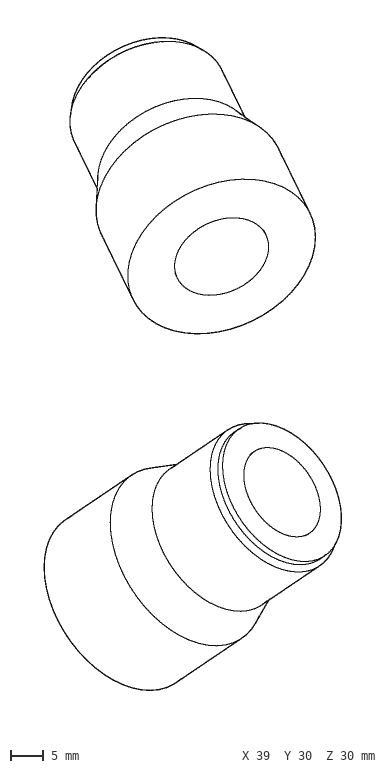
import cadquery as cq

body_diameter = 30.0
neck_diameter = 25.0
tip_diameter = 23.32
bore_diameter = 15.0

length = 39.0
tip_length = 1.15
neck_end = 16.0
body_length = 16.0
body_start = length - body_length

bevel_depth = (neck_diameter - tip_diameter) / 2
neck_start = tip_length + bevel_depth

half_section = (
    cq.Workplane("XY")
    .moveTo(0, bore_diameter / 2)
    .lineTo(0, tip_diameter / 2)
    .lineTo(tip_length, tip_diameter / 2)
    .lineTo(neck_start, neck_diameter / 2)
    .lineTo(neck_end, neck_diameter / 2)
    .lineTo(body_start, body_diameter / 2)
    .lineTo(length, body_diameter / 2)
    .lineTo(length, bore_diameter / 2)
    .close()
)

result = half_section.revolve(360, (0, 0, 0), (1, 0, 0))